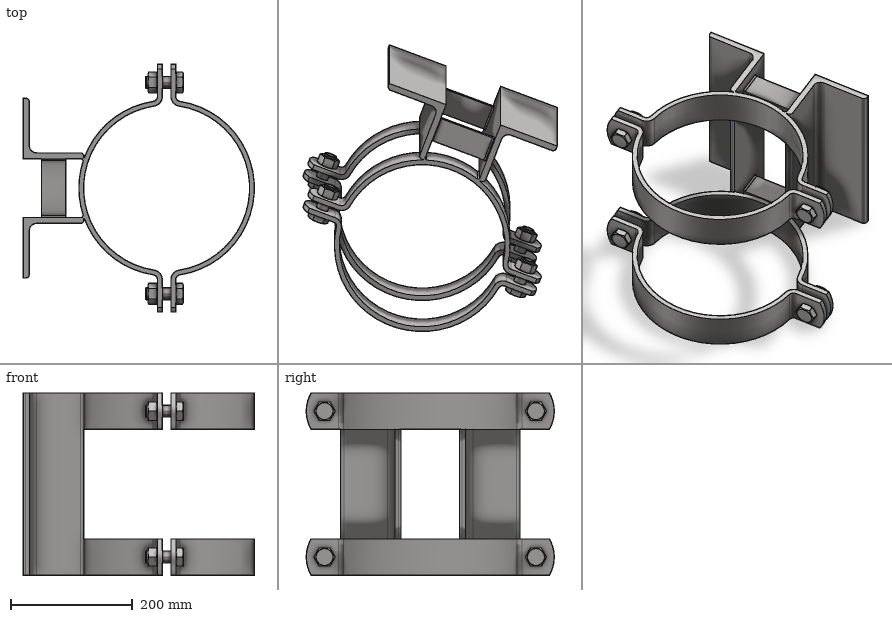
import cadquery as cq
import math


height = 300.0
strap_width = 60.0
strap_thickness = 8.0
ring_radius = 144.5
ear_gap = 14.0
ear_reach = 204.0
ear_end_radius = strap_width
bend_radius = 8.0
clamp_bases = (0, height - strap_width)

angle_leg = 100.0
angle_thickness = 10.0
angle_root_radius = 12.0
angle_toe_radius = 6.0
angle_spacing = 96.0
back_x = -236.0

bar_width = 40.0
bar_thickness = 10.0

bar_weld_leg = 3.0
ring_weld_setback = 3.3
ring_weld_drop = 3.3
weld_embed = 4.0

bolt_y = 174.0
bolt_diameter = 20.0
bolt_tip_diameter = 18.8
bolt_tip_reach = 3.5
bolt_tip_length = 1.2
hex_flats = 30.0
hex_chamfer_diameter = 27.7
hex_chamfer_angle = 25
hex_blank_margin = 2.0
nut_height = 16.0
head_height = 12.5

ear_inner_x = ear_gap / 2
ear_outer_x = ear_inner_x + strap_thickness
angle_inner_y = angle_spacing / 2
leg_end_x = back_x + angle_leg


def half_clamp():
    """The +X half of one clamp: a half ring bent outward into an ear at each end."""
    inner_radius = ring_radius - strap_thickness
    inner_bend_radius = bend_radius + strap_thickness

    bend_x = ear_outer_x + bend_radius
    bend_y = math.sqrt((ring_radius + bend_radius) ** 2 - bend_x**2)
    ring_end_angle = math.atan2(bend_y, bend_x)
    bend_mid_angle = (ring_end_angle + math.pi) / 2 + math.pi / 2

    def ring_end(radius, side):
        return radius * math.cos(ring_end_angle), side * radius * math.sin(ring_end_angle)

    def bend_middle(radius, side):
        x = bend_x + radius * math.cos(bend_mid_angle)
        y = bend_y + radius * math.sin(bend_mid_angle)
        return x, side * y

    outline = (
        cq.Workplane("XY")
        .moveTo(ear_outer_x, ear_reach)
        .lineTo(ear_outer_x, bend_y)
        .threePointArc(bend_middle(bend_radius, 1), ring_end(ring_radius, 1))
        .threePointArc((ring_radius, 0), ring_end(ring_radius, -1))
        .threePointArc(bend_middle(bend_radius, -1), (ear_outer_x, -bend_y))
        .lineTo(ear_outer_x, -ear_reach)
        .lineTo(ear_inner_x, -ear_reach)
        .lineTo(ear_inner_x, -bend_y)
        .threePointArc(bend_middle(inner_bend_radius, -1), ring_end(inner_radius, -1))
        .threePointArc((inner_radius, 0), ring_end(inner_radius, 1))
        .threePointArc(bend_middle(inner_bend_radius, 1), (ear_inner_x, bend_y))
        .lineTo(ear_inner_x, ear_reach)
        .close()
    )
    return outline.extrude(strap_width)


def rounded_ear_envelope():
    """A block along X, as high as the strap, whose Y ends are the arcs of the ear tips."""
    half_width = strap_width / 2
    arc_drop = ear_end_radius - math.sqrt(ear_end_radius**2 - half_width**2)
    corner_y = ear_reach - arc_drop
    return (
        cq.Workplane("YZ")
        .moveTo(-corner_y, 0)
        .lineTo(corner_y, 0)
        .threePointArc((ear_reach, half_width), (corner_y, strap_width))
        .lineTo(-corner_y, strap_width)
        .threePointArc((-ear_reach, half_width), (-corner_y, 0))
        .close()
        .extrude(2 * ring_radius, both=True)
    )


def chamfered_hex(length):
    """A hexagonal prism along +X from X = 0, corners along Y, both ends chamfered."""
    corner_diameter = hex_flats / math.cos(math.pi / 6)
    prism = cq.Workplane("YZ").polygon(6, corner_diameter).extrude(length)
    blank_radius = corner_diameter / 2 + hex_blank_margin
    cone_depth = blank_radius - hex_chamfer_diameter / 2
    cone_length = cone_depth * math.tan(math.radians(hex_chamfer_angle))
    turned_blank = (
        cq.Workplane("XY")
        .lineTo(0, hex_chamfer_diameter / 2)
        .lineTo(cone_length, blank_radius)
        .lineTo(length - cone_length, blank_radius)
        .lineTo(length, hex_chamfer_diameter / 2)
        .lineTo(length, 0)
        .close()
        .revolve(360, (0, 0, 0), (1, 0, 0))
    )
    return prism.intersect(turned_blank)


def bolt():
    """A bolt along X with its head at +X and its nut at -X."""
    tip_x = -ear_outer_x - nut_height - bolt_tip_reach
    shank = (
        cq.Workplane("YZ", origin=(tip_x, 0, 0))
        .circle(bolt_diameter / 2)
        .extrude(ear_outer_x - tip_x)
        .faces("<X")
        .chamfer(bolt_tip_length, (bolt_diameter - bolt_tip_diameter) / 2)
    )
    nut = chamfered_hex(nut_height).translate((-ear_outer_x - nut_height, 0, 0))
    head = chamfered_hex(head_height).translate((ear_outer_x, 0, 0))
    return shank.union(nut).union(head)


def clamp():
    """One clamp standing on Z = 0: two half straps drawn together by two bolts."""
    half = half_clamp().intersect(rounded_ear_envelope())
    body = half.union(half.mirror("YZ"))
    for y in (-bolt_y, bolt_y):
        body = body.union(bolt().translate((0, y, strap_width / 2)))
    return body


def angle_bar():
    """The +Y angle bar, with rounded root and rounded toes on the inside of the L."""
    outer_y = angle_inner_y + angle_leg
    root_x = back_x + angle_thickness
    root_y = angle_inner_y + angle_thickness
    bar = (
        cq.Workplane("XY")
        .moveTo(back_x, angle_inner_y)
        .lineTo(leg_end_x, angle_inner_y)
        .lineTo(leg_end_x, root_y)
        .lineTo(root_x, root_y)
        .lineTo(root_x, outer_y)
        .lineTo(back_x, outer_y)
        .close()
        .extrude(height)
    )

    def edge_at(x, y):
        return cq.selectors.NearestToPointSelector((x, y, height / 2))

    bar = bar.edges(edge_at(root_x, root_y)).fillet(angle_root_radius)
    bar = bar.edges(edge_at(leg_end_x, root_y)).fillet(angle_toe_radius)
    return bar.edges(edge_at(root_x, outer_y)).fillet(angle_toe_radius)


def ring_weld():
    """Bead along Z where the inner face of the +Y angle meets a clamp ring."""
    weld_y = angle_inner_y - ring_weld_drop
    ring_x = -math.sqrt(ring_radius**2 - weld_y**2)
    root = (leg_end_x + weld_embed, angle_inner_y + weld_embed / 2)
    return (
        cq.Workplane("XY")
        .moveTo(leg_end_x - ring_weld_setback, angle_inner_y)
        .lineTo(ring_x, weld_y)
        .lineTo(*root)
        .lineTo(leg_end_x - ring_weld_setback, root[1])
        .close()
        .extrude(strap_width)
    )


def welded_flat_bar():
    """Flat bar spanning the angles at Z = 0, with a bead above and below at each end."""
    half_bar = bar_thickness / 2
    half_weld = half_bar + bar_weld_leg
    weld_start_y = angle_inner_y - bar_weld_leg
    return (
        cq.Workplane("YZ")
        .polyline(
            [
                (0, half_bar),
                (weld_start_y, half_bar),
                (angle_inner_y, half_weld),
                (angle_inner_y, -half_weld),
                (weld_start_y, -half_bar),
                (0, -half_bar),
            ]
        )
        .mirrorY()
        .extrude(bar_width)
        .translate((back_x + (angle_leg - bar_width) / 2, 0, 0))
    )


angle = angle_bar()
result = angle.union(angle.mirror("XZ"))
for base_z in clamp_bases:
    result = result.union(clamp().translate((0, 0, base_z)))
    result = result.union(welded_flat_bar().translate((0, 0, base_z + strap_width / 2)))
    bead = ring_weld()
    for weld in (bead, bead.mirror("XZ")):
        result = result.union(weld.translate((0, 0, base_z)))